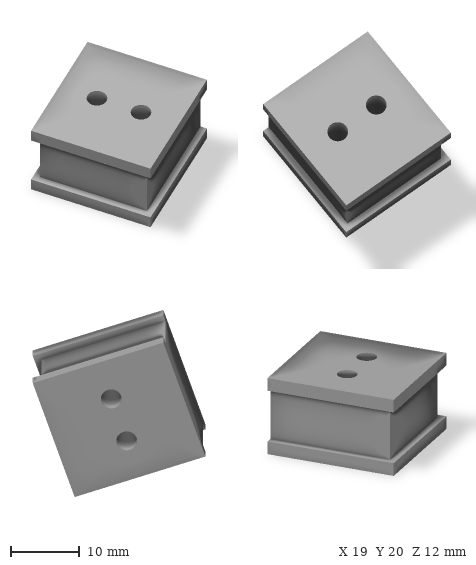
import cadquery as cq

width = 19.0
depth = 20.0
height = 12.0

flange_thickness = 2.0
overhang = 1.0
core_width = width - 2 * overhang
core_depth = depth - overhang
core_height = height - 2 * flange_thickness

hole_diameter = 3.0
hole_spacing = 7.0


def flange(base_z):
    """Full-size plate whose underside sits at base_z."""
    plate = cq.Workplane("XY").box(width, depth, flange_thickness, centered=(True, True, False))
    return plate.translate((0, 0, base_z))


core = (
    cq.Workplane("XY")
    .box(core_width, core_depth, core_height, centered=(True, True, False))
    .translate((0, overhang / 2, flange_thickness))
)

holes = (
    cq.Workplane("XY")
    .pushPoints([(-hole_spacing / 2, 0), (hole_spacing / 2, 0)])
    .circle(hole_diameter / 2)
    .extrude(height)
)

result = core.union(flange(0)).union(flange(height - flange_thickness)).cut(holes)